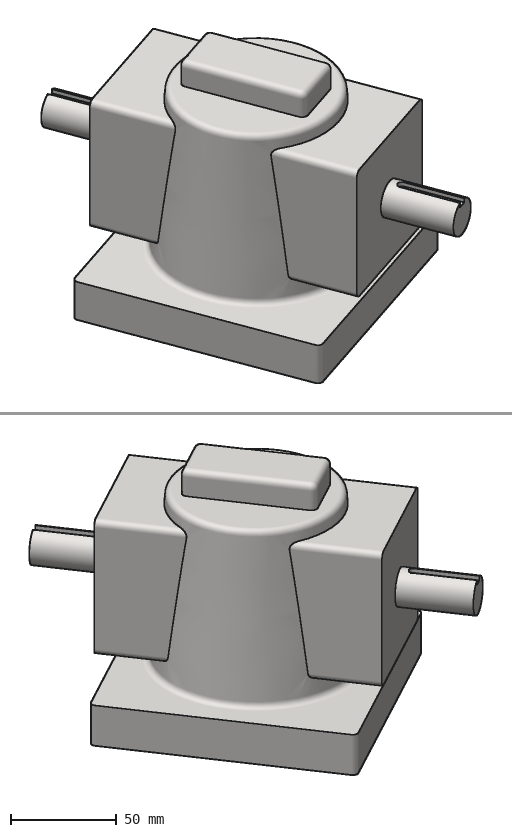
import cadquery as cq
import math

total_length = 216.0
total_height = 125.5
edge_radius = 3.2

base_side = 130.0
base_height = 21.5
base_corner_radius = 2.8

housing_top_z = 111.8
housing_top_radius = 42.7
housing_draft = 5.0
housing_height = housing_top_z - base_height
housing_bottom_radius = housing_top_radius + housing_height * math.tan(math.radians(housing_draft))

box_length = 140.0
box_side = 71.7
axis_z = 68.2

block_length = 66.0
block_width = 30.7

shaft_diameter = 19.2
keyway_length = 33.7
keyway_width = 4.5
keyway_depth = 2.5


def make_base():
    plate = cq.Workplane("XY").rect(base_side, base_side).extrude(base_height)
    return plate.edges("|Z").fillet(base_corner_radius)


def make_housing():
    """Cone frustum with a rounded top rim."""
    frustum = cq.Solid.makeCone(
        housing_bottom_radius, housing_top_radius, housing_height, pnt=cq.Vector(0, 0, base_height)
    )
    return cq.Workplane(frustum).faces(">Z").edges().fillet(edge_radius)


def make_box():
    box = cq.Workplane("XY").box(box_length, box_side, box_side)
    return box.edges("|X").fillet(edge_radius).translate((0, 0, axis_z))


def make_block():
    block = (
        cq.Workplane("XY", origin=(0, 0, housing_top_z))
        .rect(block_length, block_width)
        .extrude(total_height - housing_top_z)
    )
    return block.edges("|Z or >Z").fillet(edge_radius)


def make_shaft():
    shaft = (
        cq.Workplane("YZ", origin=(-total_length / 2, 0, axis_z))
        .circle(shaft_diameter / 2)
        .extrude(total_length)
    )
    keyway_floor_z = axis_z + shaft_diameter / 2 - keyway_depth
    keyways = (
        cq.Workplane("XY", origin=(0, 0, keyway_floor_z))
        .pushPoints([(-total_length / 2, 0), (total_length / 2, 0)])
        .slot2D(2 * keyway_length, keyway_width)
        .extrude(2 * keyway_depth)
    )
    return shaft.cut(keyways)


body = make_base().union(make_housing())
joint = cq.selectors.NearestToPointSelector((0, 0, base_height))
body = body.edges(joint).fillet(edge_radius)

result = body.union(make_box()).union(make_block()).union(make_shaft())